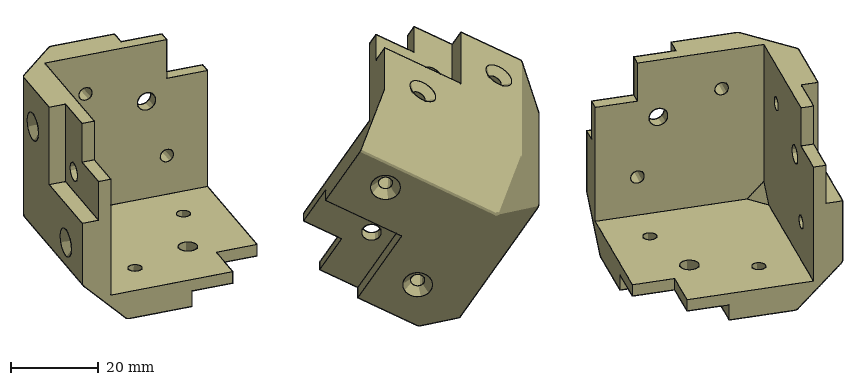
import cadquery as cq

size = 47.0
wall = 7.0
edge_chamfer = 11.0
edge_round = 1.4
inner_gusset = 4.0
recess_side = 20.0
recess_depth = 4.0
notch_side = 10.0
tip_hole_diameter = 4.4
tip_hole_place = 32.0
screw_hole_diameter = 3.2
countersink_diameter = 6.75
countersink_depth = countersink_diameter / 2
screw_near = 17.0
screw_far = size - notch_side


def corner_tetrahedron(origin, leg):
    """Solid between three planes through (origin, origin, origin) and one equally inclined plane."""
    corner = cq.Vector(origin, origin, origin)
    tips = [corner + axis * leg for axis in (cq.Vector(1, 0, 0), cq.Vector(0, 1, 0), cq.Vector(0, 0, 1))]
    triangles = [
        (corner, tips[0], tips[1]),
        (corner, tips[1], tips[2]),
        (corner, tips[2], tips[0]),
        (tips[0], tips[1], tips[2]),
    ]
    faces = [cq.Face.makeFromWires(cq.Wire.makePolygon(triangle, close=True)) for triangle in triangles]
    return cq.Workplane(cq.Solid.makeSolid(cq.Shell.makeShell(faces)))


def outer_block():
    """Cube with flats on the three edges at the origin, a triangular corner flat and rounded edges."""
    block = cq.Workplane().box(size, size, size, centered=False)
    for plane in ("XY", "YZ", "ZX"):
        flat = (
            cq.Workplane(plane)
            .polyline([(0, 0), (edge_chamfer, 0), (0, edge_chamfer)])
            .close()
            .extrude(size)
        )
        block = block.cut(flat)
    block = block.cut(corner_tetrahedron(0, 2 * edge_chamfer))

    inside = size - edge_round
    flat_edges = block.edges(cq.selectors.BoxSelector((-0.45, -0.45, -0.45), (inside, inside, inside)))
    return flat_edges.fillet(edge_round)


def plate_cutter(plane):
    """Recess, notch and holes of one plate; its outer face lies in the given plane at the origin."""
    face = cq.Workplane(plane)
    recess_start = size - recess_side
    notch_start = size - notch_side
    recess = face.box(recess_side, recess_side, recess_depth, centered=False).translate(
        face.plane.toWorldCoords((recess_start, recess_start, 0))
    )
    notch = face.box(notch_side, notch_side, wall, centered=False).translate(
        face.plane.toWorldCoords((notch_start, notch_start, 0))
    )
    tip_hole = face.center(tip_hole_place, tip_hole_place).circle(tip_hole_diameter / 2).extrude(wall)
    screw_places = [(screw_near, screw_far), (screw_far, screw_near)]
    screw_holes = face.pushPoints(screw_places).circle(screw_hole_diameter / 2).extrude(wall)
    cone = cq.Solid.makeCone(countersink_diameter / 2, 0, countersink_depth)
    countersinks = face.pushPoints(screw_places).eachpoint(
        lambda place: cone.moved(place), useLocalCoordinates=True
    )
    return recess.union(notch).union(tip_hole).union(screw_holes).union(countersinks)


cavity = cq.Workplane().box(size, size, size, centered=False).translate((wall, wall, wall))
cavity = cavity.cut(corner_tetrahedron(wall, inner_gusset))
result = outer_block().cut(cavity)

for plate_plane in ("XY", "YZ", "ZX"):
    result = result.cut(plate_cutter(plate_plane))